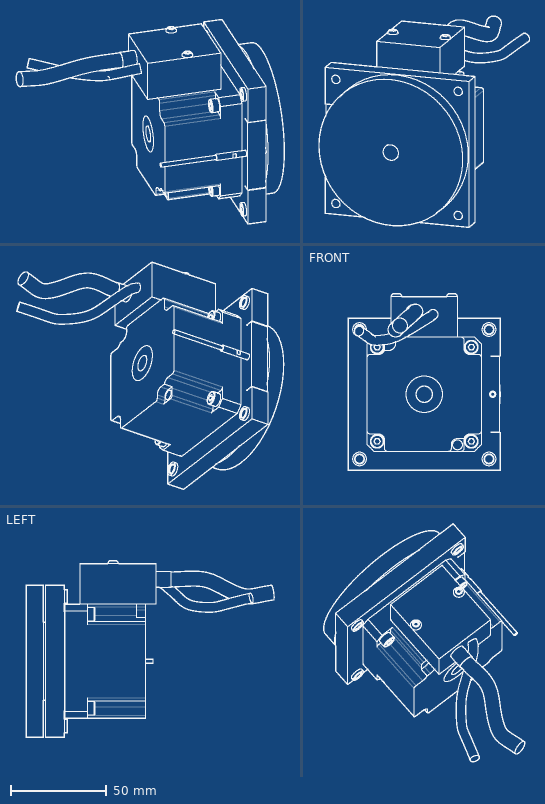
import cadquery as cq
import math


PLATE_SIDE = 80.0
PLATE_THICK = 10.0
SLEEVE_OFFSET = 34.0
SLEEVE_DIA = 7.2
SLEEVE_HEIGHT = 1.5
SLEEVE_BORE = 4.5
MOUTH_DIA = 5.2
MOUTH_DEPTH = 0.4
INSET_LENGTH = 40.1
INSET_DEPTH = 0.45
SLIT_LENGTH = 4.5
SLIT_WIDTH = 0.1

TABLE_DIA = PLATE_SIDE
TABLE_THICK = 9.0
TABLE_GAP = 1.0
BOSS_DIA = 41.0
SHAFT_DIA = 19.1
SHAFT_BORE = 8.5

MOTOR_SIDE = 59.9
MOTOR_CHAMFER = 3.5
MOTOR_GAP = 0.3
FLANGE_END = 12.0
MOTOR_END = 42.6
SPIGOT_DIA = 52.1
NOTCH_SIDE = 9.1
NOTCH_RADIUS = 3.3
LIP_RADIUS = 1.4

SCREW_OFFSET = 24.7
SCREW_DIA = SLEEVE_DIA
SCREW_HEIGHT = 4.0
SCREW_EDGE = 0.4
SCREW_HEX = 3.0
SCREW_HEX_DEPTH = 2.0
SCREW_POINT_DIA = 2.9
SCREW_POINT_DEPTH = 0.8

POCKET_WIDTH = 6.6
UPPER_POCKET_WIDTH = 5.9
UPPER_POCKET_HEIGHT = 7.0
UPPER_POCKET_RADIUS = 3.9
POCKET_RADIUS = 3.3
POCKET_LENGTH = 4.8
LEAD_HOLE_DIA = 5.2
LEAD_HOLE_DEPTH = 3.9

BOX_WIDTH = 35.0
BOX_HEIGHT = 21.4
BOX_START = 8.1
BOX_END = 48.2
BOX_SCREW_X = 14.6
BOX_SCREW_Y = -25.5
BOX_SCREW_DIA = 5.7
BOX_SCREW_TOP_DIA = 3.6
BOX_SCREW_HEIGHT = 1.5
BOX_SCREW_ROUND = 2.9
BOX_SCREW_HEX = 2.5
BOX_SCREW_HEX_DEPTH = 1.0

POWER_DIA = 8.0
GLAND_DIA = 8.3
GLAND_LENGTH = 7.8
POWER_X = -5.5
POWER_Z = 43
SIGNAL_DIA = 5.2

SENSOR_X = 36.0
SENSOR_DIA = 3.3
SENSOR_END = 16.3
SENSOR_TIP = 0.8
SENSOR_LEAD_DIA = 2.2
SENSOR_LEAD_END = 46.6
WINDOW_START = 5.6
WINDOW_LENGTH = 1.8
WINDOW_DEPTH = 0.5

HALF_PLATE = PLATE_SIDE / 2
HALF_MOTOR = MOTOR_SIDE / 2
NOTCH_WALL = HALF_MOTOR - NOTCH_SIDE
CORNERS = [(sx, sz) for sx in (-1, 1) for sz in (-1, 1)]


def section(y):
    """Workplane across the turning axis at position y; local axes are X and Z, extruding toward -Y."""
    return cq.Workplane("XZ", origin=(0, y, 0))


def rod(x, z, dia, y_start, y_end):
    """Round bar along Y."""
    return section(y_start).center(x, z).circle(dia / 2).extrude(y_start - y_end)


def block(x_range, y_range, z_range):
    """Box given by its limits along each axis."""
    corner = (x_range[0], y_range[0], z_range[0])
    sizes = [high - low for low, high in (x_range, y_range, z_range)]
    return cq.Workplane("XY", origin=corner).box(*sizes, centered=False)


def hex_across_corners(across_flats):
    return across_flats / math.cos(math.pi / 6)


def make_rotor():
    table_start = PLATE_THICK + TABLE_GAP
    rotor = rod(0, 0, TABLE_DIA, table_start + TABLE_THICK, table_start)
    rotor = rotor.union(rod(0, 0, BOSS_DIA, table_start, PLATE_THICK))
    rotor = rotor.union(rod(0, 0, SHAFT_DIA, PLATE_THICK, -MOTOR_END))
    return rotor.cut(rod(0, 0, SHAFT_BORE, table_start + TABLE_THICK, -MOTOR_END))


def make_plate():
    plate = section(PLATE_THICK).rect(PLATE_SIDE, PLATE_SIDE).extrude(PLATE_THICK)

    inset_x = HALF_PLATE - INSET_DEPTH
    half_length = INSET_LENGTH / 2
    plate = plate.cut(
        block((inset_x, HALF_PLATE), (0, PLATE_THICK), (-half_length, half_length))
    )
    for slit_z in (-half_length, half_length - SLIT_WIDTH):
        slit = block(
            (inset_x - SLIT_LENGTH, inset_x),
            (0, PLATE_THICK),
            (slit_z, slit_z + SLIT_WIDTH),
        )
        plate = plate.cut(slit)

    for sx, sz in CORNERS:
        x, z = sx * SLEEVE_OFFSET, sz * SLEEVE_OFFSET
        plate = plate.union(rod(x, z, SLEEVE_DIA, 0, -SLEEVE_HEIGHT))
        plate = plate.cut(rod(x, z, SLEEVE_BORE, PLATE_THICK, -SLEEVE_HEIGHT))
        plate = plate.cut(rod(x, z, MOUTH_DIA, MOUTH_DEPTH - SLEEVE_HEIGHT, -SLEEVE_HEIGHT))
    return plate


def motor_screw(x, z):
    """Socket-head screw seated on the motor flange."""
    head = rod(x, z, SCREW_DIA, -FLANGE_END, -FLANGE_END - SCREW_HEIGHT)
    head = head.faces("<Y").edges().chamfer(SCREW_EDGE)
    socket_floor = -FLANGE_END - SCREW_HEIGHT + SCREW_HEX_DEPTH
    socket = (
        section(socket_floor)
        .center(x, z)
        .polygon(6, hex_across_corners(SCREW_HEX))
        .extrude(SCREW_HEX_DEPTH)
    )
    drill_point = cq.Solid.makeCone(
        SCREW_POINT_DIA / 2,
        0,
        SCREW_POINT_DEPTH,
        cq.Vector(x, socket_floor, z),
        cq.Vector(0, 1, 0),
    )
    return head.cut(socket).cut(cq.Workplane(drill_point))


def make_motor_case():
    """Motor body behind the flange: a square with a rounded notch in each corner."""
    length = MOTOR_END - FLANGE_END
    case = section(-FLANGE_END).rect(MOTOR_SIDE, MOTOR_SIDE).extrude(length)
    for sx, sz in CORNERS:
        centre = HALF_MOTOR - NOTCH_SIDE / 2
        notch = (
            section(-FLANGE_END)
            .center(sx * centre, sz * centre)
            .rect(NOTCH_SIDE, NOTCH_SIDE)
            .extrude(length)
        )
        case = case.cut(notch)
    reach = HALF_MOTOR - NOTCH_SIDE / 2
    inner_corners = cq.selectors.BoxSelector((-reach, -MOTOR_END, -reach), (reach, 0, reach))
    case = case.edges("|Y").edges(inner_corners).fillet(NOTCH_RADIUS)
    for side in ("<X", ">X", "<Z", ">Z"):
        case = case.faces(side).edges("|Y").fillet(LIP_RADIUS)
    return case


def lead_pocket(sx, sz, width, height, radius):
    """Recess beside a corner notch, open to the rear, the notch and the outer face."""
    x_outer = sx * (NOTCH_WALL + NOTCH_RADIUS)
    x_inner = sx * (NOTCH_WALL - width)
    z_outer = sz * HALF_MOTOR
    z_inner = sz * (HALF_MOTOR - height)
    arc_reach = radius * (1 - math.sqrt(0.5))
    lip_reach = LIP_RADIUS * (1 - math.sqrt(0.5))
    return (
        section(-MOTOR_END + POCKET_LENGTH)
        .moveTo(x_outer, z_inner)
        .lineTo(x_inner + sx * radius, z_inner)
        .threePointArc(
            (x_inner + sx * arc_reach, z_inner + sz * arc_reach),
            (x_inner, z_inner + sz * radius),
        )
        .lineTo(x_inner, z_outer - sz * LIP_RADIUS)
        .threePointArc(
            (x_inner - sx * lip_reach, z_outer - sz * lip_reach),
            (x_inner - sx * LIP_RADIUS, z_outer),
        )
        .lineTo(x_outer, z_outer)
        .close()
        .extrude(POCKET_LENGTH)
    )


def make_motor():
    motor = rod(0, 0, SPIGOT_DIA, 0, -FLANGE_END)
    flange = (
        section(-MOTOR_GAP)
        .rect(MOTOR_SIDE, MOTOR_SIDE)
        .extrude(FLANGE_END - MOTOR_GAP)
        .edges("|Y")
        .chamfer(MOTOR_CHAMFER)
    )
    motor = motor.union(flange).union(make_motor_case())

    motor = motor.cut(lead_pocket(-1, 1, UPPER_POCKET_WIDTH, UPPER_POCKET_HEIGHT, UPPER_POCKET_RADIUS))
    motor = motor.cut(lead_pocket(1, -1, POCKET_WIDTH, POCKET_WIDTH, POCKET_RADIUS))
    lead_x = NOTCH_WALL - POCKET_WIDTH + POCKET_RADIUS
    lead_z = -HALF_MOTOR + POCKET_WIDTH - POCKET_RADIUS
    lead_y = -MOTOR_END + POCKET_LENGTH
    motor = motor.cut(rod(lead_x, lead_z, LEAD_HOLE_DIA, lead_y + LEAD_HOLE_DEPTH, lead_y))

    for sx, sz in CORNERS:
        motor = motor.union(motor_screw(sx * SCREW_OFFSET, sz * SCREW_OFFSET))
    return motor


def box_screw(x):
    """Button-head screw on the lid of the connector box."""
    top = HALF_MOTOR + BOX_HEIGHT
    head = (
        cq.Workplane("XZ")
        .lineTo(BOX_SCREW_DIA / 2, 0)
        .radiusArc((BOX_SCREW_TOP_DIA / 2, BOX_SCREW_HEIGHT), -BOX_SCREW_ROUND)
        .lineTo(0, BOX_SCREW_HEIGHT)
        .close()
        .revolve(360, (0, 0), (0, 1))
    )
    socket = (
        cq.Workplane("XY")
        .workplane(offset=BOX_SCREW_HEIGHT - BOX_SCREW_HEX_DEPTH)
        .polygon(6, hex_across_corners(BOX_SCREW_HEX))
        .extrude(BOX_SCREW_HEX_DEPTH)
    )
    return head.cut(socket).translate((x, BOX_SCREW_Y, top))


def make_connector_box():
    box = block(
        (-BOX_WIDTH / 2, BOX_WIDTH / 2),
        (-BOX_END, -BOX_START),
        (HALF_MOTOR, HALF_MOTOR + BOX_HEIGHT),
    )
    for x in (-BOX_SCREW_X, BOX_SCREW_X):
        box = box.union(box_screw(x))
    return box


def cable(points, dia, start_direction, end_direction):
    """Round cable swept along a smooth curve through the points."""
    start = cq.Plane(origin=points[0], normal=start_direction)
    path = cq.Workplane("XY").spline(points, tangents=[start_direction, end_direction])
    return cq.Workplane(start).circle(dia / 2).sweep(path)


def make_power_cable():
    gland_end = -BOX_END - GLAND_LENGTH
    gland = rod(POWER_X, POWER_Z, GLAND_DIA, -BOX_END, gland_end)
    points = [
        (POWER_X, gland_end, POWER_Z),
        (-4.8, -65.4, 43.4),
        (-5.2, -73.9, 42.9),
        (-9.6, -83.1, 39.0),
        (-14.8, -94.8, 34.1),
        (-12.8, -109.3, 36.1),
    ]
    return gland.union(cable(points, POWER_DIA, (0, -1, 0), (0.18, -1, 0.15)))


def make_signal_cable():
    points = [
        (4.7, -BOX_END, 42.0),
        (0.9, -53.5, 39.3),
        (-8.9, -60.2, 33.3),
        (-15.5, -64.7, 30),
        (-25.1, -76.0, 28.3),
        (-34.3, -98.1, 33.2),
    ]
    return cable(points, SIGNAL_DIA, (-0.2, -1, -0.2), (-0.38, -1, 0.24))


def make_sensor():
    """Rod sensor through the plate, with a small window flat and a thinner lead."""
    sensor = rod(SENSOR_X, 0, SENSOR_DIA, PLATE_THICK + SENSOR_TIP, -SENSOR_END)
    sensor = sensor.union(rod(SENSOR_X, 0, SENSOR_LEAD_DIA, -SENSOR_END, -SENSOR_LEAD_END))
    edge_x = SENSOR_X + SENSOR_DIA / 2
    window = block(
        (edge_x - WINDOW_DEPTH, edge_x),
        (-WINDOW_START - WINDOW_LENGTH, -WINDOW_START),
        (-SENSOR_DIA / 2, SENSOR_DIA / 2),
    )
    return sensor.cut(window)


def make_housing():
    """Everything that stands still, bored for the hollow shaft."""
    housing = make_plate().union(make_motor())
    housing = housing.union(make_connector_box())
    housing = housing.union(make_power_cable())
    housing = housing.union(make_signal_cable())
    housing = housing.union(make_sensor())
    return housing.cut(rod(0, 0, SHAFT_DIA, PLATE_THICK, -MOTOR_END))


rotor = make_rotor()
housing = make_housing()

result = cq.Compound.makeCompound([housing.val(), rotor.val()])